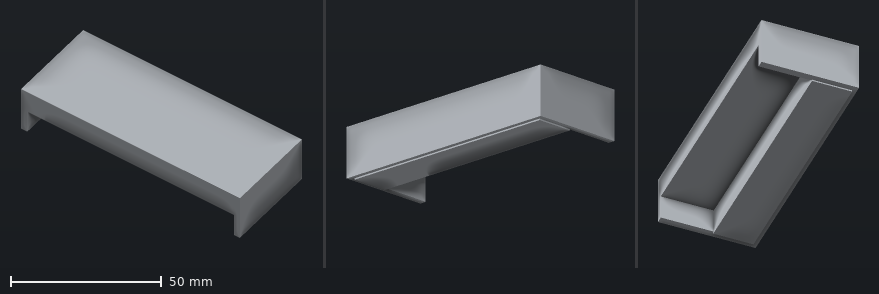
import cadquery as cq

length = 89.6
depth = 35.0
total_height = 18.6
roof_thickness = 9.0
leg_thickness = 2.5

insert_side_wall = 2.1
insert_rear_wall = 1.6
insert_depth = 14.4
insert_protrusion = 0.5

housing_height = total_height - insert_protrusion
channel_width = length - 2 * leg_thickness
channel_depth = depth - insert_rear_wall - insert_depth
insert_width = length - 2 * insert_side_wall
insert_height = total_height - roof_thickness
insert_front = depth / 2 - insert_rear_wall - insert_depth


def box_from(width, box_depth, height, front_y, bottom_z):
    """Box centred on X, running back from front_y and up from bottom_z."""
    return (
        cq.Workplane("XY")
        .box(width, box_depth, height, centered=(True, False, False))
        .translate((0, front_y, bottom_z))
    )


def make_insert():
    return box_from(insert_width, insert_depth, insert_height, insert_front, 0)


def make_housing():
    body = box_from(length, depth, housing_height, -depth / 2, insert_protrusion)
    channel = box_from(channel_width, channel_depth, insert_height, -depth / 2, 0)
    return body.cut(channel).cut(make_insert())


housing = make_housing()
insert = make_insert()

result = cq.Compound.makeCompound([housing.val(), insert.val()])